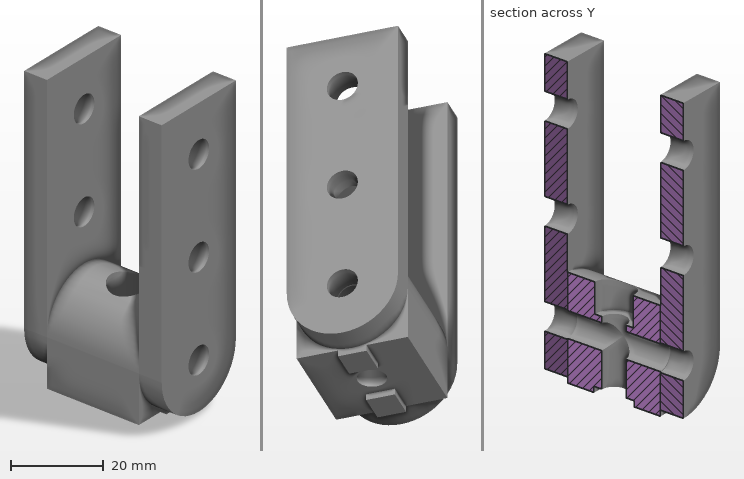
import cadquery as cq

overall_width = 38.1
depth = 25.4
block_width = depth
hole_pitch = depth
hole_count = 3
plate_hole_diameter = 7.1
bore_diameter = 6.6
counterbore_diameter = 10.4
counterbore_depth = 7.8
tab_length = 7.2
tab_depth = 6.5
tab_height = 1.5

radius = depth / 2
plate_thickness = (overall_width - block_width) / 2
plate_top = (hole_count - 1) * hole_pitch + radius


def rod_along_x(diameter, length, start_x, z=0):
    """Cylinder along X, centred on Y = 0 at height z."""
    return cq.Workplane("YZ", origin=(start_x, 0, z)).circle(diameter / 2).extrude(length)


def make_block():
    """Round-topped pivot block with a bolt bore and two locating tabs."""
    block = (
        cq.Workplane("YZ", origin=(-block_width / 2, 0, 0))
        .moveTo(-radius, -radius)
        .lineTo(radius, -radius)
        .lineTo(radius, 0)
        .threePointArc((0, radius), (-radius, 0))
        .close()
        .extrude(block_width)
    )
    for side in (-1, 1):
        tab = cq.Workplane("XY").box(tab_length, tab_depth, tab_height).translate(
            (side * (block_width - tab_length) / 2, 0, -radius - tab_height / 2)
        )
        block = block.union(tab)
    block = block.cut(rod_along_x(bore_diameter, block_width, -block_width / 2))
    bolt_bore = cq.Workplane("XY", origin=(0, 0, -radius)).circle(bore_diameter / 2).extrude(depth)
    counterbore = (
        cq.Workplane("XY", origin=(0, 0, radius - counterbore_depth))
        .circle(counterbore_diameter / 2)
        .extrude(counterbore_depth)
    )
    return block.cut(bolt_bore).cut(counterbore)


def make_plate(start_x):
    """Upright side plate with a round lower end and a row of holes."""
    plate = (
        cq.Workplane("YZ", origin=(start_x, 0, 0))
        .moveTo(-radius, 0)
        .threePointArc((0, -radius), (radius, 0))
        .lineTo(radius, plate_top)
        .lineTo(-radius, plate_top)
        .close()
        .extrude(plate_thickness)
    )
    for index in range(hole_count):
        hole = rod_along_x(plate_hole_diameter, plate_thickness, start_x, index * hole_pitch)
        plate = plate.cut(hole)
    return plate


block = make_block()
plates = [make_plate(start_x) for start_x in (-overall_width / 2, block_width / 2)]

result = cq.Compound.makeCompound([block.val(), *[plate.val() for plate in plates]])